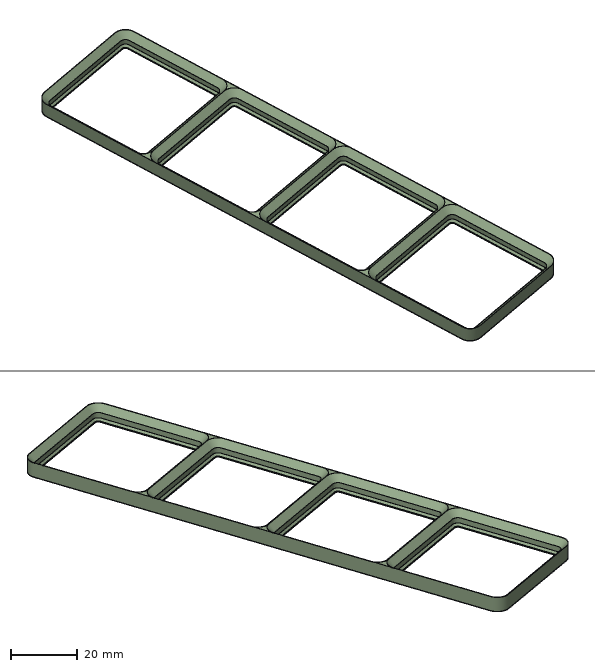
import cadquery as cq

length = 168.0
cell_count = 4
pitch = length / cell_count
height = 5.0
corner_radius = 4.0

wall_thickness = 2.9
bottom_land = 0.35
lower_slope = 0.7
upper_slope = wall_thickness - lower_slope

lower_slope_top = bottom_land + lower_slope
upper_slope_base = height - upper_slope

wall_profile = [
    (wall_thickness, 0),
    (wall_thickness, bottom_land),
    (upper_slope, lower_slope_top),
    (upper_slope, upper_slope_base),
    (0, height),
]


def cell_outline(inset):
    """Rounded square that runs parallel to the cell boundary."""
    side = pitch - 2 * inset
    return cq.Sketch().rect(side, side).vertices().fillet(corner_radius - inset)


def opening_band(lower, upper):
    """Slice of a cell opening between two breaks of the wall profile."""
    lower_inset, lower_z = lower
    upper_inset, upper_z = upper
    return (
        cq.Workplane("XY", origin=(0, 0, lower_z))
        .placeSketch(
            cell_outline(lower_inset),
            cell_outline(upper_inset).moved(cq.Location(cq.Vector(0, 0, upper_z - lower_z))),
        )
        .loft(ruled=True)
    )


def cell_opening():
    """Complete opening of one cell, centred on the Z axis."""
    opening = opening_band(wall_profile[0], wall_profile[1])
    for lower, upper in zip(wall_profile[1:], wall_profile[2:]):
        opening = opening.union(opening_band(lower, upper))
    return opening


frame = cq.Workplane("XY").rect(length, pitch).extrude(height).edges("|Z").fillet(corner_radius)

opening = cell_opening()
for cell in range(cell_count):
    cell_x = (cell - (cell_count - 1) / 2) * pitch
    frame = frame.cut(opening.translate((cell_x, 0, 0)))

result = frame